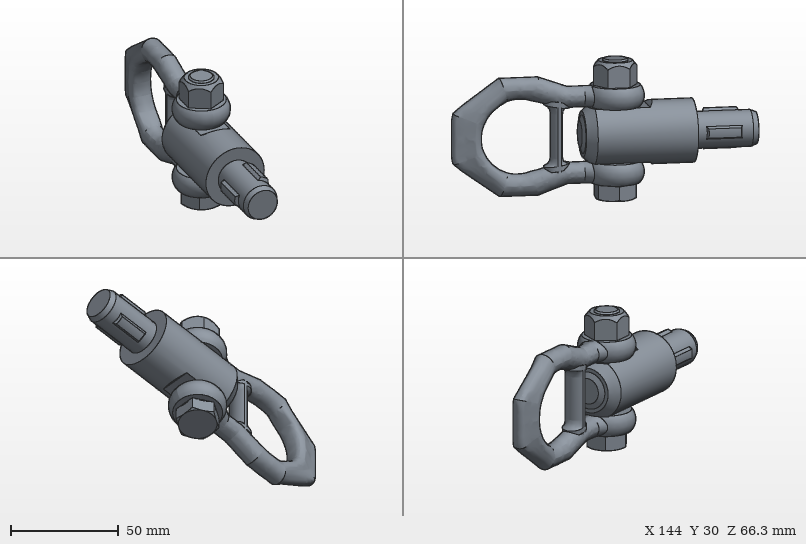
import cadquery as cq
import math


bolt_radius = 6.0
hex_across_flats = 18.0
hex_circumdiameter = hex_across_flats / math.cos(math.radians(30))
washer_face_radius = 8.6
washer_face_height = 0.6
head_height = 7.2
head_chamfer_face_radius = 9.0
head_chamfer_height = 0.8
nut_height = 11.6
nut_top_radius = 8.0
nut_chamfer_height = 2.9
bolt_tip_projection = 0.9
bolt_tip_chamfer = 0.8

body_radius = 15.0
body_front_x = -15.6
body_front_radius = 10.8
body_chamfer_end_x = -10.9
body_end_x = 36.6
front_cone_base_radius = 9.0
front_cone_tip_radius = 6.2
front_cone_height = 1.2
flat_half_gap = 13.0
flat_end_x = 15.1

shank_radius = 8.65
shank_end_x = 66.6
shank_taper_x = 63.8
shank_tip_radius = 7.5
key_start_x = 41.6
key_length = 17.0
key_base_width = 6.1
key_base_radius = 8.0
key_top_radius = 10.2
key_inset = 0.95
key_count = 3

eye_height = 10.0
eye_face_radius = 11.6
eye_bulge_radius = 13.6
eye_top = flat_half_gap + eye_height

bow_center_x = -45.8
bow_inner_radius = 17.75
bow_side_reach = 28.0
bow_nose_reach = 31.55
bar_half_width = 5.5
rounding_share = 0.48
nose_half_width = 2.6
nose_corner_depth = 0.8
nose_taper_start = 3.6
side_angle = 90
neck_corner_angle = 72
side_corner_angle = 108
nose_corner_angle = 159
nose_corner_reach = 33.1
nose_angle = 180
bow_sections_per_stretch = 5

neck_bend_x = -23.9
neck_bend_tilt = 12
neck_end_x = -15.2
flare_end_x = -10.5
flare_half_width = 8.1

bar_front_x = -30.7
bar_rear_x = -25.0
bar_edge_front_x = -28.1
bar_edge_rear_x = -26.4
bar_edge_y = 5.0
root_radius = 3.3
root_end_z = 13.8
root_tilt = 8
root_buried_height = 2.5
root_section_count = 4


def make_swivel_body():
    """Turned body with two bolt flats, a cross hole and a shank with three keys."""
    body = (
        cq.Workplane("XY")
        .moveTo(body_front_x - front_cone_height, 0)
        .lineTo(body_front_x - front_cone_height, front_cone_tip_radius)
        .lineTo(body_front_x, front_cone_base_radius)
        .lineTo(body_front_x, body_front_radius)
        .lineTo(body_chamfer_end_x, body_radius)
        .lineTo(body_end_x, body_radius)
        .lineTo(body_end_x, shank_radius)
        .lineTo(shank_taper_x, shank_radius)
        .lineTo(shank_end_x, shank_tip_radius)
        .lineTo(shank_end_x, 0)
        .close()
        .revolve(360, (0, 0, 0), (1, 0, 0))
    )
    for side in (1, -1):
        body = body.cut(flat_cutter(side))
    for index in range(key_count):
        body = body.union(make_key().rotate((0, 0, 0), (1, 0, 0), index * 360 / key_count))
    cross_hole = cq.Workplane("XY").circle(bolt_radius).extrude(2 * body_radius, both=True)
    return body.cut(cross_hole)


def flat_cutter(side):
    """Cutter for one bolt flat, ending in a 45 degree ramp; side is +1 above and -1 below."""
    clear_z = 2 * body_radius
    clear_x = 2 * body_front_x
    ramp_end_x = flat_end_x + clear_z - flat_half_gap
    outline = [
        (clear_x, side * flat_half_gap),
        (flat_end_x, side * flat_half_gap),
        (ramp_end_x, side * clear_z),
        (clear_x, side * clear_z),
    ]
    return cq.Workplane("XZ").polyline(outline).close().extrude(2 * body_radius, both=True)


def make_key():
    """Key on the -Y side of the shank, narrowing evenly towards its top."""
    middle_x = key_start_x + key_length / 2
    straight_base = (
        cq.Workplane("XZ", origin=(middle_x, 0, 0))
        .rect(key_length, key_base_width)
        .extrude(key_base_radius)
    )
    tapered_top = (
        cq.Workplane("XZ", origin=(middle_x, -key_base_radius, 0))
        .rect(key_length, key_base_width)
        .workplane(offset=key_top_radius - key_base_radius)
        .rect(key_length - 2 * key_inset, key_base_width - 2 * key_inset)
        .loft(ruled=True)
    )
    top_envelope = (
        cq.Workplane("YZ", origin=(key_start_x, 0, 0))
        .circle(key_top_radius)
        .extrude(key_length)
    )
    return straight_base.union(tapered_top).intersect(top_envelope)


def make_bolt():
    """Bolt with its hexagon head and washer face below, and a chamfered tip above."""
    washer_bottom = -eye_top - washer_face_height
    head_bottom = washer_bottom - head_height
    tip_z = eye_top + nut_height + bolt_tip_projection
    head = (
        cq.Workplane("XY", origin=(0, 0, head_bottom))
        .polygon(6, hex_circumdiameter)
        .extrude(head_height)
        .rotate((0, 0, 0), (0, 0, 1), 30)
    )
    head_envelope = (
        cq.Workplane("XZ")
        .moveTo(0, head_bottom)
        .lineTo(head_chamfer_face_radius, head_bottom)
        .lineTo(hex_circumdiameter / 2, head_bottom + head_chamfer_height)
        .lineTo(hex_circumdiameter / 2, washer_bottom)
        .lineTo(0, washer_bottom)
        .close()
        .revolve(360, (0, 0, 0), (0, 1, 0))
    )
    washer_face = (
        cq.Workplane("XY", origin=(0, 0, washer_bottom))
        .circle(washer_face_radius)
        .extrude(washer_face_height)
    )
    shaft = (
        cq.Workplane("XY", origin=(0, 0, washer_bottom))
        .circle(bolt_radius)
        .extrude(tip_z - washer_bottom)
        .faces(">Z")
        .chamfer(bolt_tip_chamfer)
    )
    return head.intersect(head_envelope).union(washer_face).union(shaft)


def make_nut():
    """Hexagon nut on the upper eye, with its upper corners turned to a cone."""
    nut_top = eye_top + nut_height
    envelope = (
        cq.Workplane("XZ")
        .moveTo(0, eye_top)
        .lineTo(hex_circumdiameter / 2, eye_top)
        .lineTo(hex_circumdiameter / 2, nut_top - nut_chamfer_height)
        .lineTo(nut_top_radius, nut_top)
        .lineTo(0, nut_top)
        .close()
        .revolve(360, (0, 0, 0), (0, 1, 0))
    )
    return (
        cq.Workplane("XY", origin=(0, 0, eye_top))
        .polygon(6, hex_circumdiameter)
        .extrude(nut_height)
        .intersect(envelope)
        .cut(cq.Workplane("XY", origin=(0, 0, eye_top)).circle(bolt_radius).extrude(nut_height))
    )


def bar_section(inner, outer, inner_half_width, outer_half_width, inner_depth, outer_depth):
    """Closed section of the shackle bar, symmetric about the XZ plane.

    inner and outer are the (x, z) ends of the section's middle line. Each end is rounded
    over the given half width and depth, and nearly straight sides join the two ends.
    """
    length = math.dist(inner, outer)
    direction = ((outer[0] - inner[0]) / length, (outer[1] - inner[1]) / length)

    def point(distance, y):
        return cq.Vector(inner[0] + distance * direction[0], y, inner[1] + distance * direction[1])

    diagonal = math.sqrt(0.5)
    taper = (outer_half_width - inner_half_width) / (length - inner_depth - outer_depth)
    inner_diagonal = (1 - diagonal) * inner_depth
    outer_diagonal = (1 - diagonal) * outer_depth
    half_outline = [
        (0, 0),
        (inner_diagonal, diagonal * (inner_half_width - taper * (inner_depth - inner_diagonal))),
        (inner_depth, inner_half_width),
        ((inner_depth + length - outer_depth) / 2, (inner_half_width + outer_half_width) / 2),
        (length - outer_depth, outer_half_width),
        (length - outer_diagonal, diagonal * (outer_half_width + taper * (outer_depth - outer_diagonal))),
        (length, 0),
    ]
    left_points = [point(distance, -y) for distance, y in reversed(half_outline)]
    right_points = [point(distance, y) for distance, y in half_outline[1:-1]]
    outline = cq.Edge.makeSpline(left_points + right_points, periodic=True)
    return cq.Wire.assembleEdges([outline])


def bow_point(radius, angle):
    """Point (x, z) at a polar position about the bow's centre."""
    return (
        bow_center_x + radius * math.cos(math.radians(angle)),
        radius * math.sin(math.radians(angle)),
    )


def round_section(inner, outer):
    """Bar section with evenly rounded inner and outer sides."""
    depth = rounding_share * math.dist(inner, outer)
    return bar_section(inner, outer, bar_half_width, bar_half_width, depth, depth)


def bow_section(angle):
    """Bow section on the radial plane at an angle: round at the side, wedge shaped at the nose."""
    side_corner = bow_point(bow_side_reach / math.sin(math.radians(side_corner_angle)), side_corner_angle)
    nose_corner = bow_point(-bow_nose_reach / math.cos(math.radians(nose_corner_angle)), nose_corner_angle)
    slope_direction = math.atan2(side_corner[1] - nose_corner[1], side_corner[0] - nose_corner[0])
    slope_normal = slope_direction + math.pi / 2
    slope_reach = (side_corner[0] - bow_center_x) * math.cos(slope_normal)
    slope_reach += side_corner[1] * math.sin(slope_normal)
    if angle <= side_corner_angle:
        outer_radius = bow_side_reach / math.sin(math.radians(angle))
    elif angle <= nose_corner_angle:
        outer_radius = slope_reach / math.cos(math.radians(angle) - slope_normal)
    else:
        outer_radius = -bow_nose_reach / math.cos(math.radians(angle))
    outer_radius = min(outer_radius, nose_corner_reach)
    inner = bow_point(bow_inner_radius, angle)
    outer = bow_point(outer_radius, angle)

    wedge = (angle - side_corner_angle) / (nose_corner_angle - side_corner_angle)
    wedge = min(max(wedge, 0), 1)
    round_depth = rounding_share * (outer_radius - bow_inner_radius)
    return bar_section(
        inner,
        outer,
        bar_half_width,
        bar_half_width + wedge * (nose_half_width - bar_half_width),
        round_depth + wedge * (nose_taper_start - round_depth),
        round_depth + wedge * (nose_corner_depth - round_depth),
    )


def bow_stretch(start_angle, end_angle):
    """Straight-sided stretch of the bow between two corner angles."""
    step = (end_angle - start_angle) / (bow_sections_per_stretch - 1)
    sections = [bow_section(start_angle + index * step) for index in range(bow_sections_per_stretch)]
    return cq.Workplane(cq.Solid.makeLoft(sections))


def upright_section(x, half_width):
    """Bar section at the height of an eye, on a plane across the X axis."""
    depth = rounding_share * eye_height
    return bar_section((x, flat_half_gap), (x, eye_top), half_width, half_width, depth, depth)


def make_neck():
    """Bar from the bow to the eye, widening where it joins the eye."""
    bend_shift = eye_height / 2 * math.tan(math.radians(neck_bend_tilt))
    bend_section = round_section(
        (neck_bend_x - bend_shift, flat_half_gap),
        (neck_bend_x + bend_shift, eye_top),
    )
    neck_end = upright_section(neck_end_x, bar_half_width)
    flare_end = upright_section(flare_end_x, flare_half_width)
    neck = cq.Workplane(cq.Solid.makeLoft([bow_section(neck_corner_angle), bend_section], True))
    for pair in ([bend_section, neck_end], [neck_end, flare_end]):
        neck = neck.union(cq.Workplane(cq.Solid.makeLoft(pair, True)))
    return neck


def make_eye():
    """Upper shackle eye, a disc with a bulging rim."""
    return (
        cq.Workplane("XZ")
        .moveTo(0, flat_half_gap)
        .lineTo(eye_face_radius, flat_half_gap)
        .threePointArc((eye_bulge_radius, flat_half_gap + eye_height / 2), (eye_face_radius, eye_top))
        .lineTo(0, eye_top)
        .close()
        .revolve(360, (0, 0, 0), (0, 1, 0))
    )


def crossbar_profile(height, tilt, growth):
    """Crossbar outline at a height, with its bulging faces pushed out by a growth."""
    middle_x = (bar_edge_front_x + bar_edge_rear_x) / 2
    return (
        cq.Workplane("XY", origin=(middle_x, 0, height))
        .transformed(rotate=(0, tilt, 0))
        .moveTo(bar_edge_front_x - middle_x, -bar_edge_y)
        .threePointArc((bar_front_x - middle_x - growth, 0), (bar_edge_front_x - middle_x, bar_edge_y))
        .lineTo(bar_edge_rear_x - middle_x, bar_edge_y)
        .threePointArc((bar_rear_x - middle_x + growth, 0), (bar_edge_rear_x - middle_x, -bar_edge_y))
        .close()
    )


def make_crossbar_root():
    """Flare from the crossbar into the upper neck, its faces following a quarter circle."""
    wires = []
    for step in range(root_section_count):
        angle = math.radians(90 * step / (root_section_count - 1))
        height = root_end_z - root_radius * (1 - math.sin(angle))
        growth = root_radius * (1 - math.cos(angle))
        tilt = root_tilt * step / (root_section_count - 1)
        wires.append(crossbar_profile(height, tilt, growth).val())
    flare = cq.Workplane(cq.Solid.makeLoft(wires))
    buried_end = crossbar_profile(root_end_z, root_tilt, root_radius).extrude(root_buried_height)
    return flare.union(buried_end)


def make_crossbar():
    """Bar joining the two necks, with bulging faces, narrow flat edges and flared roots."""
    half_height = flat_half_gap + eye_height / 2
    root = make_crossbar_root()
    bar = crossbar_profile(0, 0, 0).extrude(half_height, both=True)
    return bar.union(root).union(root.mirror("XY"))


def make_shackle():
    """Shackle made of two mirrored halves and the crossbar, bored for the bolt."""
    corner_angles = [neck_corner_angle, side_angle, side_corner_angle, nose_corner_angle, nose_angle]
    half = make_eye().union(make_neck())
    for start_angle, end_angle in zip(corner_angles, corner_angles[1:]):
        half = half.union(bow_stretch(start_angle, end_angle))
    shackle = half.union(half.mirror("XY")).union(make_crossbar())
    return shackle.cut(cq.Workplane("XY").circle(bolt_radius).extrude(2 * eye_top, both=True))


swivel_body = make_swivel_body()
shackle = make_shackle()
bolt = make_bolt()
nut = make_nut()

result = cq.Compound.makeCompound([swivel_body.val(), shackle.val(), bolt.val(), nut.val()])